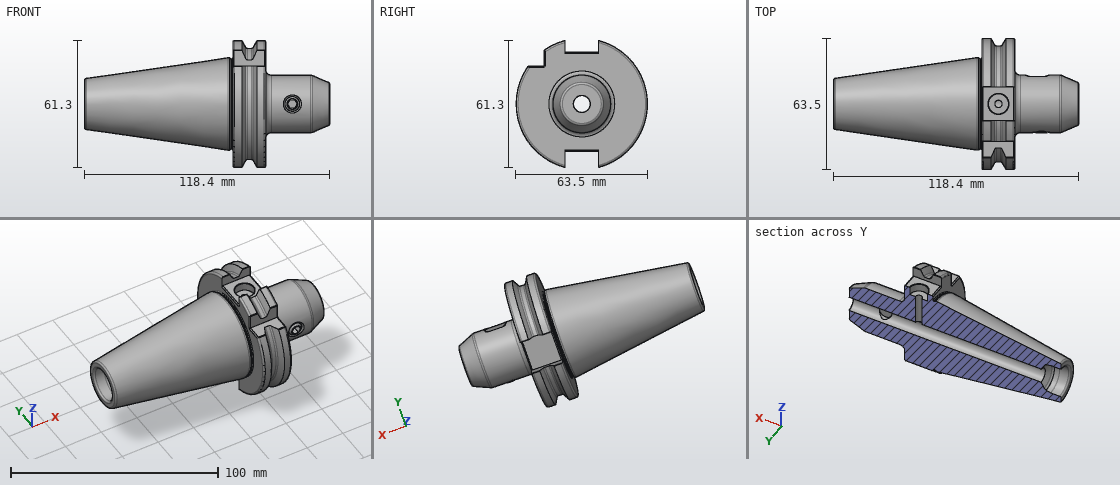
import cadquery as cq
import math


length = 118.4

gauge_x = 69.1
gauge_radius = 22.4
taper_slope = 7 / 48
taper_end_radius = gauge_radius - gauge_x * taper_slope
taper_end_fillet = 1.0

relief_start_x = 70.0
relief_radius = 21.8
relief_fillet = 0.5
relief_chamfer = gauge_radius - relief_radius

flange_start_x = 71.5
flange_end_x = 87.5
flange_diameter = 63.5
flange_radius = flange_diameter / 2
flange_fillet = 1.0
groove_x = 79.6
groove_root_radius = 28.1
groove_half_floor = 1.5
groove_half_angle = 30
groove_fillet = 1.0
groove_half_mouth = groove_half_floor + (
    (flange_radius - groove_root_radius) * math.tan(math.radians(groove_half_angle))
)

nose_radius = 14.0
root_fillet = 2.7
root_end_x = 90.1
nose_cone_x = 109.6
nose_tip_radius = 10.2
nose_cone_fillet = 2.4
nose_tip_fillet = 1.2

slot_half_width = 8.0
upper_slot_floor = 25.0
lower_slot_floor = 22.9
notch_edge = 18.2
floor_chamfer = 0.6
rim_chamfer = 0.2

chip_radius = 4.9
chip_rim_chamfer = 0.2
chip_depth = 4.5
chip_hole_radius = 1.8

bore_radius = 4.0
pilot_radius = 8.5
pilot_mouth_fillet = 1.0
pilot_depth = 5.9
neck_radius = 8.0
neck_depth = 8.5
core_radius = 7.1
drill_half_angle = 59

screw_x = 100.3
screw_radius = 3.5
screw_mouth_chamfer = 0.8
screw_outer_y = -nose_radius
screw_inner_y = -bore_radius
screw_chamfer = 1.0
hex_flats = 4.0
hex_depth = 4.0

balance_x = 98.3
balance_radius = 5.7
balance_floor_y = 13.3

match_tolerance = 0.01


def make_cylinder(radius, start, direction, height):
    """Cylinder from a start point along a direction."""
    return cq.Workplane(
        cq.Solid.makeCylinder(radius, height, cq.Vector(*start), cq.Vector(*direction))
    )


def edges_at(body, x, radius):
    """Circular edges of a turned body at one station and radius."""
    picked = [
        edge for edge in body.edges("%CIRCLE").vals()
        if abs(edge.Center().x - x) < match_tolerance
        and abs(edge.radius() - radius) < match_tolerance
    ]
    return body.newObject(picked)


def make_turned_blank():
    root_sweep = math.asin((root_end_x - flange_end_x) / root_fillet)
    root_arc = [
        (
            root_end_x - root_fillet * math.sin(angle),
            nose_radius + root_fillet * (1 - math.cos(angle)),
        )
        for angle in (root_sweep, root_sweep / 2)
    ]
    blank = (
        cq.Workplane("XY")
        .lineTo(0, taper_end_radius)
        .lineTo(gauge_x, gauge_radius)
        .lineTo(relief_start_x, gauge_radius)
        .lineTo(relief_start_x + relief_chamfer, relief_radius)
        .lineTo(flange_start_x, relief_radius)
        .lineTo(flange_start_x, flange_radius)
        .lineTo(groove_x - groove_half_mouth, flange_radius)
        .lineTo(groove_x - groove_half_floor, groove_root_radius)
        .lineTo(groove_x + groove_half_floor, groove_root_radius)
        .lineTo(groove_x + groove_half_mouth, flange_radius)
        .lineTo(flange_end_x, flange_radius)
        .lineTo(*root_arc[0])
        .threePointArc(root_arc[1], (root_end_x, nose_radius))
        .lineTo(nose_cone_x, nose_radius)
        .lineTo(length, nose_tip_radius)
        .lineTo(length, 0)
        .close()
        .revolve(360, (0, 0, 0), (1, 0, 0))
    )
    rounded_edges = [
        (0, taper_end_radius, taper_end_fillet),
        (flange_start_x, relief_radius, relief_fillet),
        (flange_start_x, flange_radius, flange_fillet),
        (flange_end_x, flange_radius, flange_fillet),
        (groove_x - groove_half_floor, groove_root_radius, groove_fillet),
        (groove_x + groove_half_floor, groove_root_radius, groove_fillet),
        (nose_cone_x, nose_radius, nose_cone_fillet),
        (length, nose_tip_radius, nose_tip_fillet),
    ]
    for x, radius, fillet in rounded_edges:
        blank = edges_at(blank, x, radius).fillet(fillet)
    return blank


def make_slot_cutter(y_range, floor_z):
    """Slot across the flange, open upward, its floor chamfered at both flange faces."""
    profile = [
        (flange_start_x, flange_radius),
        (flange_start_x, floor_z - floor_chamfer),
        (flange_start_x + floor_chamfer, floor_z),
        (flange_end_x - floor_chamfer, floor_z),
        (flange_end_x, floor_z - floor_chamfer),
        (flange_end_x, flange_radius),
    ]
    cutter = cq.Workplane("XZ").polyline(profile).close().extrude(y_range[0] - y_range[1])
    return cutter.translate((0, y_range[0], 0))


def make_rim_chamfer(wall_y, side):
    """Bevel where a wall at wall_y, with its material toward side, meets the flange rim."""
    inner_y = wall_y + side * rim_chamfer
    wall_top = math.sqrt(flange_radius**2 - wall_y**2)
    inner_top = math.sqrt(flange_radius**2 - inner_y**2)
    outline = [
        (wall_y, wall_top - rim_chamfer),
        (inner_y, inner_top),
        (inner_y, inner_top + rim_chamfer),
        (wall_y, wall_top + rim_chamfer),
    ]
    start = cq.Workplane("YZ", origin=(flange_start_x, 0, 0))
    return start.polyline(outline).close().extrude(flange_end_x - flange_start_x)


def swap_notch_sides(cutter):
    """Mirror about the diagonal of the notch, which exchanges its floor and its wall."""
    return cutter.mirror("XZ").rotate((0, 0, 0), (1, 0, 0), 90)


def cut_flange(body):
    slot_range = (-slot_half_width, slot_half_width)
    slot_rims = make_rim_chamfer(slot_half_width, 1).union(make_rim_chamfer(-slot_half_width, -1))
    notch_floor = make_slot_cutter((-flange_radius, -notch_edge), notch_edge)
    notch_rim = make_rim_chamfer(-notch_edge, 1)
    cutters = [
        make_slot_cutter(slot_range, upper_slot_floor),
        make_slot_cutter(slot_range, lower_slot_floor).mirror("XY"),
        slot_rims,
        slot_rims.mirror("XY"),
        notch_floor,
        swap_notch_sides(notch_floor),
        notch_rim,
        swap_notch_sides(notch_rim),
    ]
    for cutter in cutters:
        body = body.cut(cutter)
    return body


def cut_chip_recess(body):
    chip = make_cylinder(
        chip_radius, (groove_x, 0, upper_slot_floor - chip_depth), (0, 0, 1), chip_depth
    )
    rim = cq.Workplane(cq.Solid.makeCone(
        chip_radius, chip_radius + chip_rim_chamfer, chip_rim_chamfer,
        cq.Vector(groove_x, 0, upper_slot_floor - chip_rim_chamfer), cq.Vector(0, 0, 1),
    ))
    hole = make_cylinder(chip_hole_radius, (groove_x, 0, 0), (0, 0, 1), upper_slot_floor)
    return body.cut(chip).cut(rim).cut(hole)


def cut_axial_bores(body):
    core_depth = neck_depth + neck_radius - core_radius
    cone_length = (core_radius - bore_radius) / math.tan(math.radians(drill_half_angle))
    profile = [
        (0, 0),
        (0, pilot_radius),
        (pilot_depth, pilot_radius),
        (neck_depth, neck_radius),
        (core_depth, core_radius),
        (core_depth + cone_length, bore_radius),
        (length, bore_radius),
        (length, 0),
    ]
    bores = cq.Workplane("XY").polyline(profile).close().revolve(360, (0, 0, 0), (1, 0, 0))
    body = body.cut(bores)
    return edges_at(body, 0, pilot_radius).fillet(pilot_mouth_fillet)


def cut_nose_holes(body):
    screw_hole = make_cylinder(screw_radius, (screw_x, 0, 0), (0, -1, 0), nose_radius)
    balance = make_cylinder(
        balance_radius, (balance_x, balance_floor_y, 0), (0, 1, 0), nose_radius - balance_floor_y
    )
    mouth = cq.selectors.NearestToPointSelector((screw_x, screw_outer_y, 0))
    body = body.cut(screw_hole).edges(mouth).chamfer(screw_mouth_chamfer)
    return body.cut(balance)


def make_holder():
    body = cut_flange(make_turned_blank())
    body = cut_chip_recess(body)
    body = cut_axial_bores(body)
    return cut_nose_holes(body)


def make_screw():
    hex_corners = hex_flats / math.cos(math.radians(30))
    screw = make_cylinder(
        screw_radius, (screw_x, screw_inner_y, 0), (0, -1, 0), screw_inner_y - screw_outer_y
    )
    screw = screw.faces("<Y").chamfer(screw_chamfer)
    socket = (
        cq.Workplane("XZ", origin=(screw_x, screw_outer_y + hex_depth, 0))
        .polygon(6, hex_corners)
        .extrude(hex_depth)
    )
    return screw.cut(socket)


holder = make_holder()
screw = make_screw()
result = cq.Compound.makeCompound([holder.val(), screw.val()])